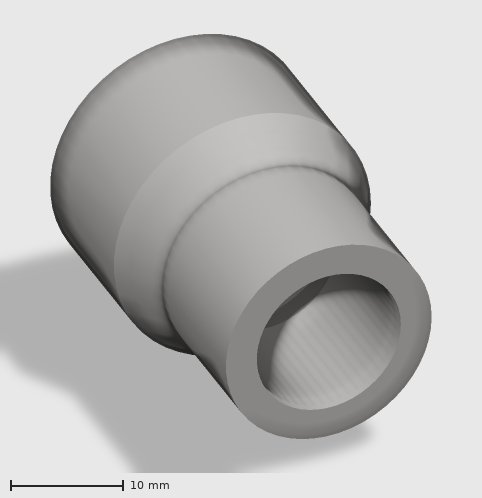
import cadquery as cq

large_outer_diameter = 25.0
large_bore_diameter = 19.0
small_outer_diameter = 20.0
small_bore_diameter = 14.0
large_end_length = 14.0
taper_length = 5.0
small_end_length = 14.0

taper_start = large_end_length
taper_end = taper_start + taper_length
total_length = taper_end + small_end_length


def stepped_body(large_diameter, small_diameter):
    """Solid of two coaxial cylinders joined by a cone, starting at X = 0."""
    large_radius = large_diameter / 2
    small_radius = small_diameter / 2
    half_profile = [
        (0, 0),
        (0, large_radius),
        (taper_start, large_radius),
        (taper_end, small_radius),
        (total_length, small_radius),
        (total_length, 0),
    ]
    return cq.Workplane("XY").polyline(half_profile).close().revolve(360, (0, 0, 0), (1, 0, 0))


outer_body = stepped_body(large_outer_diameter, small_outer_diameter)
bore = stepped_body(large_bore_diameter, small_bore_diameter)

result = outer_body.cut(bore)